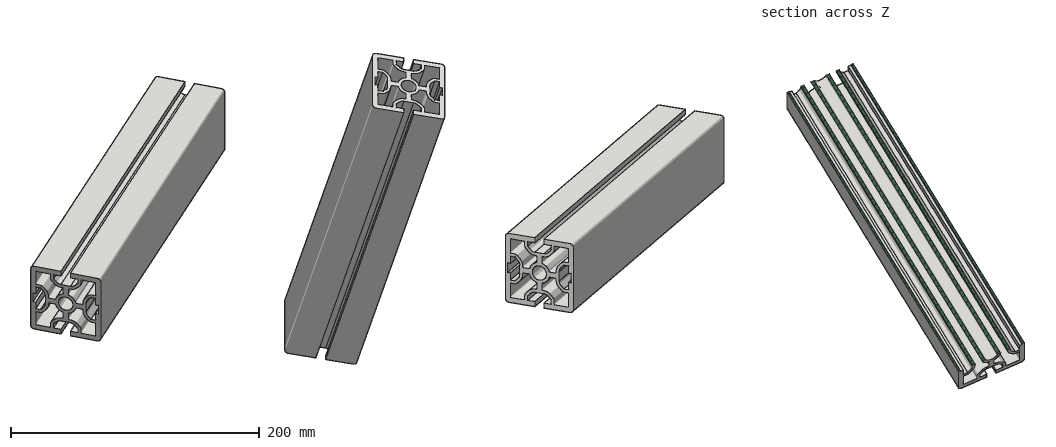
import cadquery as cq
import math

length = 300.0
side = 60.0
wall = 4.5
corner_radius = 3.3
half_side = side / 2
cavity_half = half_side - wall

slot_width = 8.0
web = 2.7
channel_width = 20.7
channel_floor = 17.5
channel_chamfer = 4.2
floor_bend = 5.7
wall_bend = 4.2
closed_slot_skin = 2.0

bore_diameter = 12.3
core_diameter = 18.0
stem_width = 4.5
stem_fillet = 1.2

cell_fillet = 0.75


def bar(profile):
    """Extrude an XZ profile over the full length, centred along Y."""
    return profile.extrude(length / 2, both=True)


def section():
    return cq.Workplane("XZ")


def block(width, z_low, z_high):
    """Full-length bar, centred on X, between two heights."""
    return bar(section().center(0, (z_low + z_high) / 2).rect(width, z_high - z_low))


def fillet_corners(shape, corners, radius):
    """Round the lengthwise edges at (+-x, +-z) and (+-z, +-x) of each corner."""
    tolerance = 0.15
    edges = []
    for edge in shape.edges("|Y").vals():
        center = edge.Center()
        place = sorted((abs(center.x), abs(center.z)))
        if any(math.dist(place, corner) < tolerance for corner in corners):
            edges.append(edge)
    return shape.newObject(edges).fillet(radius)


def channel(growth):
    """Channel space above the core, grown outward by the given thickness."""
    half_width = channel_width / 2 + growth
    floor = channel_floor - growth
    chamfer = channel_chamfer + growth * (2 - math.sqrt(2))
    points = [
        (-half_width, cavity_half),
        (-half_width, floor + chamfer),
        (-half_width + chamfer, floor),
        (half_width - chamfer, floor),
        (half_width, floor + chamfer),
        (half_width, cavity_half),
    ]
    solid = bar(section().polyline(points).close())
    solid = fillet_corners(solid, [(half_width - chamfer, floor)], floor_bend + growth)
    if growth > 0:
        solid = fillet_corners(solid, [(half_width, floor + chamfer)], wall_bend)
    return solid


def turned(shape, quarter_turns):
    return shape.rotate((0, 0, 0), (0, 1, 0), 90 * quarter_turns)


body = bar(section().rect(side, side)).edges("|Y").fillet(corner_radius)
body = body.cut(bar(section().rect(2 * cavity_half, 2 * cavity_half)))
body = body.union(bar(section().circle(core_diameter / 2)))
arm = block(stem_width, 0, channel_floor).union(channel(web))
for turn in range(4):
    body = body.union(turned(arm, turn))

half_stem = stem_width / 2
core_meets_stem = math.sqrt((core_diameter / 2) ** 2 - half_stem ** 2)
web_meets_wall = channel_width / 2 + web
stem_corners = [(half_stem, channel_floor - web)]
cell_corners = [
    (half_stem, core_meets_stem),
    (web_meets_wall, cavity_half),
    (cavity_half, cavity_half),
]
body = fillet_corners(body, stem_corners, stem_fillet)
body = fillet_corners(body, cell_corners, cell_fillet)

body = body.cut(bar(section().circle(bore_diameter / 2)))
for turn in range(4):
    is_open = turn % 2 == 0
    slot_top = half_side if is_open else half_side - closed_slot_skin
    body = body.cut(turned(channel(0), turn))
    body = body.cut(turned(block(slot_width, channel_floor, slot_top), turn))

result = body